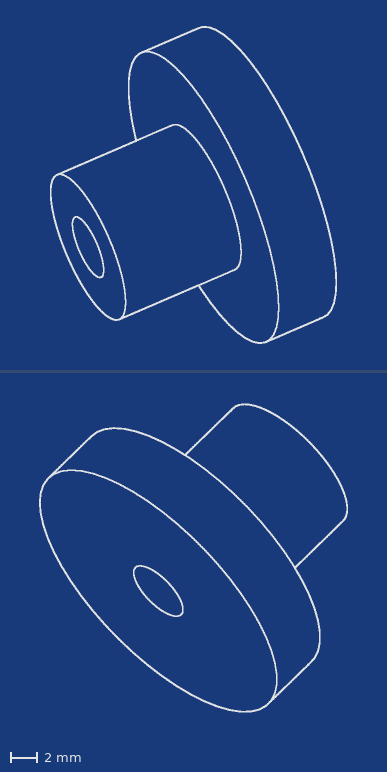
import cadquery as cq

flange_diameter = 24.0
hub_diameter = flange_diameter / 2
bore_diameter = 5.0
total_length = 15.0
hub_length = total_length * 2 / 3


def cylinder_along_y(diameter, length):
    """Cylinder from the XZ plane toward +Y."""
    return cq.Workplane("XZ").circle(diameter / 2).extrude(-length)


hub = cylinder_along_y(hub_diameter, total_length)
flange = cylinder_along_y(flange_diameter, total_length - hub_length).translate((0, hub_length, 0))
bore = cylinder_along_y(bore_diameter, total_length)

result = hub.union(flange).cut(bore)